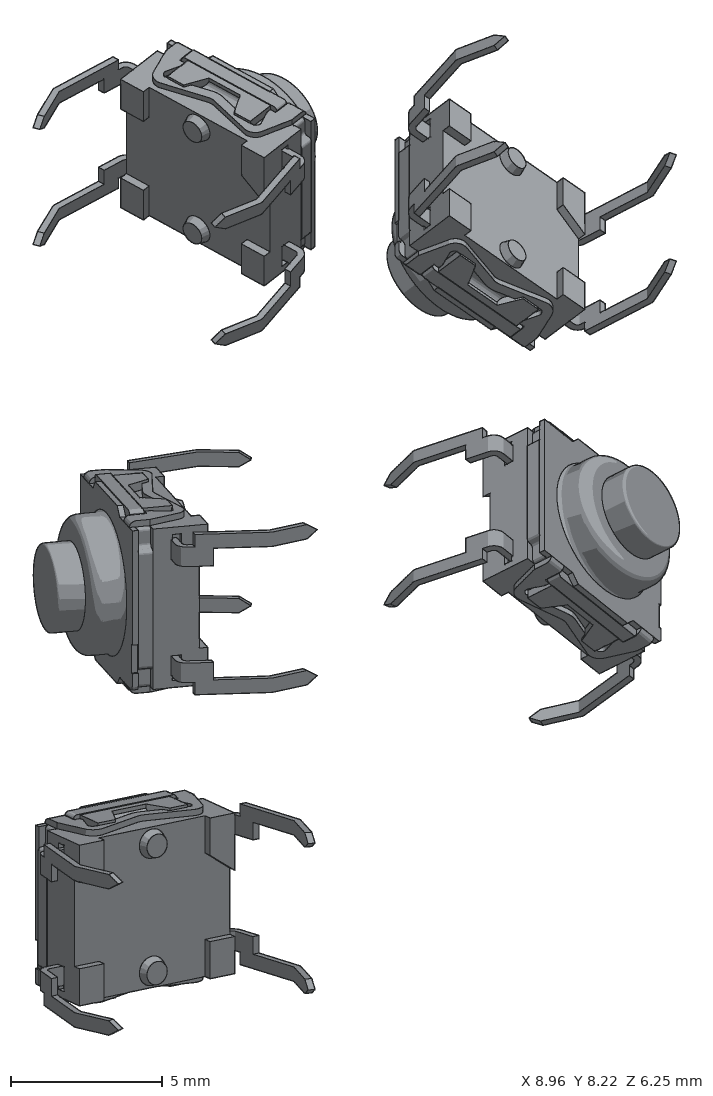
import cadquery as cq

SEAT_Y = 0.3
BAND_Y = 1.89
PLATE_Y = 2.395
COVER_Y = 2.6
DOME_Y = 3.75
BUTTON_Y = 4.7

OUTER_SIZE_Z = 6.25

BODY_HALF_X = 3.095
BODY_HALF_Z = 2.79
BAND_HALF_X = 3.13
BAND_STEP_X = 2.835
BAND_STEP_Z = 2.07
BAND_ROUND = 0.14
NOTCH_DEPTH = 0.09
NOTCH_LOW_Z = -2.18
NOTCH_HIGH_Z = -1.18
PLATE_ROUND = 0.16

FOOT_INNER_X = 2.11
FOOT_INNER_Z = 1.5
SLANTED_FOOT_Z = 0.8
PEG_BASE_DIAMETER = 1.01
PEG_TIP_DIAMETER = 0.81
PEG_Z = 2.21

DOME_DIAMETER = 4.7
DOME_ROUND = 0.38
FLARE_Y = 2.81
FLARE_SPREAD = 0.09
BUTTON_DIAMETER = 3.0
BUTTON_ROUND = 0.09

FLAP_THICKNESS = 0.215
FLAP_BEND = 0.25
FLAP_EMBED = 0.09
FLAP_HALF_X = 2.72
FLAP_SHOULDER_Y = 1.875
FLAP_CORNER = (2.21, 0.4)
FLAP_PEAK_Y = 1.0
FLAP_CORNER_ROUND = 0.45
FLAP_PEAK_ROUND = 0.5
WINDOW_LIP_Y = 1.81
WINDOW_NECK_X = 1.84
WINDOW_NECK_Y = 1.63
WINDOW_CORNER = (2.17, 0.77)
WINDOW_PEAK_Y = 1.35
WINDOW_ROUND = 0.18

RAIL_HALF_X = 2.05
RAIL_HALF_Z = OUTER_SIZE_Z / 2
RAIL_ROUND = 0.14
LATCH_HALF_X = 1.785
LATCH_HALF_Z = 3.095
LATCH_LOW_Y = 0.84
LATCH_GAP_TOP = (0.67, 1.65)
LATCH_GAP_BOTTOM_X = 1.085
GROOVE_WIDTH = 0.22
GROOVE_HEIGHT = 0.16
TONGUE_BASE_X = 1.61
TONGUE_TOP_X = 1.3

PIN_THICKNESS = 0.24
PIN_TOP_Y = 1.265
PIN_ROOT_X = 2.69
PIN_SHOULDER_X = 3.92
PIN_KNEE = (4.49, -1.79)
PIN_TIP = (3.92, -3.52)
PIN_SHOULDER_ROUND = 0.41
PIN_KNEE_ROUND = 0.29
PIN_TAB_INNER_Z = 1.68
PIN_TAB_OUTER_Z = 2.36
PIN_LEG_INNER_Z = 2.29
PIN_TAB_LOW_Y = 0.11
PIN_LEG_TOP_Y = 0.72
PIN_POINT_LENGTH = 0.4
SLOT_LOW_Y = 0.915
SLOT_HIGH_Y = 1.22
SLOT_OUTER_Z = 2.54
SLOT_DEPTH = 0.18


def prism_y(points, low_y, high_y):
    """Solid with an (X, Z) outline, between two levels along Y."""
    outline = cq.Workplane("XZ", origin=(0, low_y, 0)).polyline(points).close()
    return outline.extrude(low_y - high_y)


def prism_z(points, low_z, high_z):
    """Solid with an (X, Y) outline, between two levels along Z."""
    outline = cq.Workplane("XY", origin=(0, 0, low_z)).polyline(points).close()
    return outline.extrude(high_z - low_z)


def box_between(x_range, y_range, z_range):
    """Box given by its limits along each axis."""
    (x0, x1), (y0, y1), (z0, z1) = x_range, y_range, z_range
    return cq.Workplane("XY").box(x1 - x0, y1 - y0, z1 - z0, centered=False).translate((x0, y0, z0))


def mirrored_outline(half):
    """Complete an outline given for X <= 0 with its mirror image in X."""
    return half + [(-x, y) for x, y in reversed(half) if x != 0]


def round_corner(solid, corner, radius):
    """Round the Z-parallel edge at an (X, Y) corner and its mirror image in X."""
    x, y = corner
    mid_z = solid.val().BoundingBox().center.z
    for side_x in {x, -x}:
        nearest = cq.selectors.NearestToPointSelector((side_x, y, mid_z))
        solid = solid.edges("|Z").edges(nearest).fillet(radius)
    return solid


def with_mirror(solid, plane):
    """A solid joined with its mirror image."""
    return solid.union(solid.mirror(plane))


def make_body():
    return box_between((-BODY_HALF_X, BODY_HALF_X), (SEAT_Y, BAND_Y), (-BODY_HALF_Z, BODY_HALF_Z))


def make_band():
    """Band with stepped corners, every upright edge rounded."""
    quarter = [(BAND_HALF_X, BAND_STEP_Z), (BAND_STEP_X, BAND_STEP_Z), (BAND_STEP_X, BODY_HALF_Z)]
    upper = quarter + [(-x, z) for x, z in reversed(quarter)]
    outline = upper + [(x, -z) for x, z in reversed(upper)]
    return prism_y(outline, BAND_Y, PLATE_Y).edges("|Y").fillet(BAND_ROUND)


def make_plate():
    levels = (PLATE_Y, COVER_Y)
    plate = box_between((-BODY_HALF_X, BODY_HALF_X), levels, (-BODY_HALF_Z, BODY_HALF_Z))
    plate = plate.edges("|Y and <X and <Z").fillet(PLATE_ROUND)
    notch = box_between((-BODY_HALF_X, NOTCH_DEPTH - BODY_HALF_X), levels, (NOTCH_LOW_Z, NOTCH_HIGH_Z))
    return plate.cut(notch)


def make_feet():
    """Four corner feet, one of them with a slanted inner side."""
    feet = cq.Workplane("XY")
    for side_x in (-1, 1):
        for side_z in (-1, 1):
            slanted = side_x > 0 and side_z > 0
            wall_z = SLANTED_FOOT_Z if slanted else FOOT_INNER_Z
            outline = [
                (side_x * FOOT_INNER_X, side_z * BODY_HALF_Z),
                (side_x * FOOT_INNER_X, side_z * FOOT_INNER_Z),
                (side_x * BODY_HALF_X, side_z * wall_z),
                (side_x * BODY_HALF_X, side_z * BODY_HALF_Z),
            ]
            feet = feet.add(prism_y(outline, 0, SEAT_Y))
    return feet.combine()


def make_peg():
    """Tapered locating peg at +Z."""
    profile = [(0, 0), (PEG_TIP_DIAMETER / 2, 0), (PEG_BASE_DIAMETER / 2, SEAT_Y), (0, SEAT_Y)]
    peg = cq.Workplane("XY").polyline(profile).close().revolve(360, (0, 0), (0, 1))
    return peg.translate((0, 0, PEG_Z))


def make_button():
    """Button on a rounded dome that flares out onto the cover plate."""
    dome_radius = DOME_DIAMETER / 2
    flare_radius = (FLARE_SPREAD**2 + (FLARE_Y - COVER_Y) ** 2) / (2 * FLARE_SPREAD)
    profile = (
        cq.Workplane("XY")
        .moveTo(0, COVER_Y)
        .lineTo(dome_radius + FLARE_SPREAD, COVER_Y)
        .radiusArc((dome_radius, FLARE_Y), flare_radius)
        .lineTo(dome_radius, DOME_Y - DOME_ROUND)
        .radiusArc((dome_radius - DOME_ROUND, DOME_Y), -DOME_ROUND)
        .lineTo(BUTTON_DIAMETER / 2, DOME_Y)
        .lineTo(BUTTON_DIAMETER / 2, BUTTON_Y - BUTTON_ROUND)
        .radiusArc((BUTTON_DIAMETER / 2 - BUTTON_ROUND, BUTTON_Y), -BUTTON_ROUND)
        .lineTo(0, BUTTON_Y)
        .close()
    )
    return profile.revolve(360, (0, 0), (0, 1))


def flap_prism(half_outline):
    """Solid through the thickness of the flap, from the -X half of its outline."""
    outline = mirrored_outline(half_outline)
    return prism_z(outline, BODY_HALF_Z - FLAP_EMBED, BODY_HALF_Z + FLAP_THICKNESS)


def make_window():
    """Opening in the flap; its lower edge runs alongside the flap's own."""
    corner_x, corner_y = WINDOW_CORNER
    window = flap_prism(
        [
            (-RAIL_HALF_X, COVER_Y),
            (-RAIL_HALF_X, WINDOW_LIP_Y),
            (-WINDOW_NECK_X, WINDOW_LIP_Y),
            (-WINDOW_NECK_X, WINDOW_NECK_Y),
            (-corner_x, corner_y),
            (0, WINDOW_PEAK_Y),
        ]
    )
    window = round_corner(window, WINDOW_CORNER, WINDOW_ROUND)
    return round_corner(window, (0, WINDOW_PEAK_Y), FLAP_PEAK_ROUND + WINDOW_PEAK_Y - FLAP_PEAK_Y)


def make_flap():
    """Bent flap at +Z with a V-shaped lower edge and a window."""
    corner_x, corner_y = FLAP_CORNER
    flap = flap_prism(
        [(-FLAP_HALF_X, COVER_Y), (-FLAP_HALF_X, FLAP_SHOULDER_Y), (-corner_x, corner_y), (0, FLAP_PEAK_Y)]
    )
    flap = round_corner(flap, FLAP_CORNER, FLAP_CORNER_ROUND)
    flap = round_corner(flap, (0, FLAP_PEAK_Y), FLAP_PEAK_ROUND)
    flap = flap.faces(">Y").edges(">Z").fillet(FLAP_BEND)
    return flap.cut(make_window())


def make_latch():
    """Rail, two-clawed latch and tongue at +Z."""
    rail = box_between((-RAIL_HALF_X, RAIL_HALF_X), (BAND_Y, PLATE_Y), (0, RAIL_HALF_Z))
    rail = rail.edges("|Y and >Z").fillet(RAIL_ROUND)

    claws = box_between((-LATCH_HALF_X, LATCH_HALF_X), (LATCH_LOW_Y, BAND_Y), (BODY_HALF_Z, LATCH_HALF_Z))
    gap_x, gap_y = LATCH_GAP_TOP
    gap_outline = mirrored_outline([(-gap_x, gap_y), (-LATCH_GAP_BOTTOM_X, LATCH_LOW_Y)])
    gap = prism_z(gap_outline, BODY_HALF_Z, LATCH_HALF_Z)
    groove_radius = (GROOVE_WIDTH**2 + GROOVE_HEIGHT**2) / (2 * GROOVE_HEIGHT)
    groove = (
        cq.Workplane("YZ", origin=(-LATCH_GAP_BOTTOM_X, 0, 0))
        .moveTo(gap_y, BODY_HALF_Z)
        .lineTo(gap_y - GROOVE_WIDTH, BODY_HALF_Z)
        .radiusArc((gap_y, BODY_HALF_Z + GROOVE_HEIGHT), -groove_radius)
        .close()
        .extrude(2 * LATCH_GAP_BOTTOM_X)
    )

    tongue_outline = [
        (-TONGUE_BASE_X, BODY_HALF_Z),
        (-TONGUE_TOP_X, LATCH_HALF_Z),
        (TONGUE_TOP_X, LATCH_HALF_Z),
        (TONGUE_BASE_X, BODY_HALF_Z),
    ]
    return rail.union(claws.cut(gap)).union(groove).union(prism_y(tongue_outline, PLATE_Y, COVER_Y))


def make_pin():
    """Bent sheet pin at -X, +Z with a pointed end."""
    root = cq.Vector(-PIN_ROOT_X, PIN_TOP_Y)
    shoulder = cq.Vector(-PIN_SHOULDER_X, PIN_TOP_Y)
    knee = cq.Vector(-PIN_KNEE[0], PIN_KNEE[1])
    tip = cq.Vector(-PIN_TIP[0], PIN_TIP[1])

    def inward(start, end):
        """Unit normal on the inner side of a stretch of the pin."""
        along = (end - start).normalized()
        return cq.Vector(-along.y, along.x)

    def mitre(normal_a, normal_b):
        """Shift from an outer corner to the matching inner corner."""
        return (normal_a + normal_b) * (PIN_THICKNESS / (1 + normal_a.dot(normal_b)))

    root_normal = inward(root, shoulder)
    upper_normal = inward(shoulder, knee)
    lower_normal = inward(knee, tip)
    inner_shoulder = shoulder + mitre(root_normal, upper_normal)
    inner_knee = knee + mitre(upper_normal, lower_normal)
    corners = [
        root,
        shoulder,
        knee,
        tip,
        tip + lower_normal * PIN_THICKNESS,
        inner_knee,
        inner_shoulder,
        root + root_normal * PIN_THICKNESS,
    ]
    strip = prism_z([(p.x, p.y) for p in corners], PIN_TAB_INNER_Z, BODY_HALF_Z)
    mid_z = (PIN_TAB_INNER_Z + BODY_HALF_Z) / 2
    bends = [
        (shoulder, PIN_SHOULDER_ROUND),
        (inner_shoulder, PIN_SHOULDER_ROUND - PIN_THICKNESS),
        (knee, PIN_KNEE_ROUND),
        (inner_knee, PIN_KNEE_ROUND - PIN_THICKNESS),
    ]
    for corner, radius in bends:
        nearest = cq.selectors.NearestToPointSelector((corner.x, corner.y, mid_z))
        strip = strip.edges("|Z").edges(nearest).fillet(radius)

    across = (-PIN_KNEE[0], 0)
    above_tab = box_between(across, (PIN_LEG_TOP_Y, PIN_TOP_Y), (PIN_TAB_OUTER_Z, BODY_HALF_Z))
    beside_leg = box_between(across, (PIN_TIP[1], PIN_TAB_LOW_Y), (PIN_TAB_INNER_Z, PIN_LEG_INNER_Z))
    strip = strip.cut(above_tab).cut(beside_leg)

    leg_plane = cq.Plane(origin=tip.toTuple(), xDir=(knee - tip).toTuple(), normal=lower_normal.toTuple())
    z_sign = leg_plane.yDir.z
    point_z = z_sign * (BODY_HALF_Z + PIN_LEG_INNER_Z) / 2
    for edge in (BODY_HALF_Z, PIN_LEG_INNER_Z):
        edge_z = z_sign * edge
        corner = [(0, edge_z), (PIN_POINT_LENGTH, edge_z), (0, point_z)]
        strip = strip.cut(cq.Workplane(leg_plane).polyline(corner).close().extrude(PIN_THICKNESS))
    return strip


def make_slot():
    """Shallow slot in the -X wall around the pin root at +Z."""
    x_range = (-BODY_HALF_X, SLOT_DEPTH - BODY_HALF_X)
    return box_between(x_range, (SLOT_LOW_Y, SLOT_HIGH_Y), (PIN_TAB_INNER_Z, SLOT_OUTER_Z))


def on_four_corners(solid):
    """Copies of a solid mirrored to all four corners in X and Z."""
    return with_mirror(with_mirror(solid, "XY"), "YZ")


result = make_body().union(make_band()).union(make_plate()).union(make_feet()).union(make_button())
for feature in (make_peg(), make_flap(), make_latch()):
    result = result.union(with_mirror(feature, "XY"))
result = result.cut(on_four_corners(make_slot())).union(on_four_corners(make_pin()))